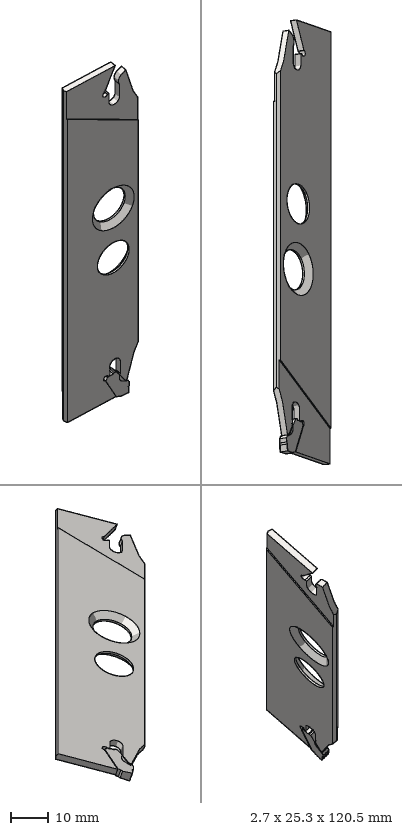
import cadquery as cq

blade_length = 119.9
blade_width = 25.3
blade_thickness = 2.3
edge_ridge = 0.4
half_length = blade_length / 2
half_width = blade_width / 2
half_thickness = blade_thickness / 2

relief_depth = 0.4
relief_start_front = 9.6
relief_start_back = 24.1

slot_radius = 1.8
slot_inset = 8.4
slot_depth = 12.0
stop_depth = 8.9
seat_mouth = (8.1, 0.0)
seat_root = (11.75, 7.7)
seat_relief_center = (11.6, 8.5)
seat_relief_radius = 0.8
jaw_tip = (4.4, 3.6)
jaw_shoulder = (6.0, 4.5)
jaw_bulge = (7.0, 6.4)
jaw_neck_depth = 7.6
flank_bend = (1.87, 12.7)
flank_foot_depth = 16.4

hole_diameter = 11.0
hole_inset = 9.0
hole_offset = 9.0
countersink_diameter = 14.5
countersink_depth = 1.7

cutting_width = 2.7
insert_body_width = 2.3
insert_overhang = 120.5 - blade_length
insert_center_x = relief_depth / 2
body_half_width = insert_body_width / 2
cutting_half_width = cutting_width / 2
insert_corner = (4.0, -insert_overhang)
flare_top = (3.6, 2.4)
flare_bottom = (6.7, -insert_overhang)


def end_point(point):
    """YZ position of an (inset, depth) pair at the lower end of the blade."""
    inset, depth = point
    return (half_width - inset, depth - half_length)


def yz_prism(points, x_start, x_end):
    """Prism along X over a polygon of (inset, depth) points."""
    outline = cq.Workplane("YZ").workplane(offset=x_start).polyline([end_point(p) for p in points])
    return outline.close().extrude(x_end - x_start)


def turn_end_for_end(shape):
    """Half turn about Y, which carries the lower end onto the upper end."""
    return shape.rotate((0, 0, 0), (0, 1, 0), 180)


def end_notch():
    """Outer flank, jaw, slot and insert seat removed from the lower end."""
    slot_outer = slot_inset - slot_radius
    slot_inner = slot_inset + slot_radius
    clearance = 1.2
    outline = (
        cq.Workplane("YZ").workplane(offset=-blade_thickness)
        .moveTo(*end_point((-clearance, flank_foot_depth)))
        .lineTo(*end_point((0, flank_foot_depth)))
        .lineTo(*end_point(flank_bend))
        .lineTo(*end_point(jaw_tip))
        .lineTo(*end_point(jaw_shoulder))
        .threePointArc(end_point(jaw_bulge), end_point((slot_outer, jaw_neck_depth)))
        .lineTo(*end_point((slot_outer, slot_depth)))
        .threePointArc(end_point((slot_inset, slot_depth + slot_radius)), end_point((slot_inner, slot_depth)))
        .lineTo(*end_point((slot_inner, stop_depth)))
        .lineTo(*end_point((seat_root[0], stop_depth)))
        .lineTo(*end_point(seat_root))
        .lineTo(*end_point(seat_mouth))
        .lineTo(*end_point((seat_mouth[0], -clearance)))
        .lineTo(*end_point((-clearance, -clearance)))
        .close()
        .extrude(2 * blade_thickness)
    )
    root_relief = (
        cq.Workplane("YZ").workplane(offset=-blade_thickness)
        .center(*end_point(seat_relief_center)).circle(seat_relief_radius).extrude(2 * blade_thickness)
    )
    return outline.union(root_relief)


def face_relief():
    """Wedge-shaped region of the -X face thinned at the lower end."""
    points = [(0, 0), (blade_width, 0), (blade_width, relief_start_front), (0, relief_start_back)]
    return yz_prism(points, -half_thickness, -half_thickness + relief_depth)


def mounting_hole():
    """Lower hole, its conical countersink flaring towards the -X face."""
    center = (half_width - hole_inset, -hole_offset)
    bore = (
        cq.Workplane("YZ").workplane(offset=-half_thickness)
        .center(*center).circle(hole_diameter / 2).extrude(blade_thickness)
    )
    countersink = (
        cq.Workplane("YZ").workplane(offset=-half_thickness)
        .center(*center).circle(countersink_diameter / 2)
        .workplane(offset=countersink_depth).circle(hole_diameter / 2).loft(combine=True)
    )
    return bore.union(countersink)


def make_blade():
    flat_half_width = half_width - edge_ridge
    section = [
        (-half_thickness, -flat_half_width), (0, -half_width), (half_thickness, -flat_half_width),
        (half_thickness, flat_half_width), (0, half_width), (-half_thickness, flat_half_width),
    ]
    blade = (
        cq.Workplane("XY").workplane(offset=-half_length).polyline(section).close().extrude(blade_length)
    )
    for cutter in (end_notch(), face_relief(), mounting_hole()):
        blade = blade.cut(cutter).cut(turn_end_for_end(cutter))
    return blade


def tip_flare(side):
    """Triangular pyramid that widens the cutting tip on the side of X given by its sign."""
    base_x = insert_center_x + side * body_half_width
    edge_x = insert_center_x + side * cutting_half_width
    top, bottom, corner = [
        cq.Vector(base_x, *end_point(p)) for p in (flare_top, flare_bottom, insert_corner)
    ]
    apex = cq.Vector(edge_x, *end_point(insert_corner))
    triangles = [(top, bottom, corner), (top, bottom, apex), (bottom, corner, apex), (corner, top, apex)]
    faces = [cq.Face.makeFromWires(cq.Wire.makePolygon(list(t), close=True)) for t in triangles]
    return cq.Workplane(obj=cq.Solid.makeSolid(cq.Shell.makeShell(faces)))


def make_insert(blade):
    """Cutting insert, recessed along its upper edge to straddle the clamping jaw."""
    outline = [
        insert_corner, (4.0, 1.3), (3.6, 1.8), flare_top, (3.6, 3.0), (4.1, 3.9), (5.1, 4.3),
        (7.6, 8.4), (8.3, 9.3), (8.8, 9.3), (9.2, stop_depth), (11.2, stop_depth),
        seat_root, seat_mouth, (7.2, -0.2), flare_bottom,
    ]
    insert = yz_prism(outline, insert_center_x - body_half_width, insert_center_x + body_half_width)
    for side in (-1, 1):
        insert = insert.union(tip_flare(side))
    return insert.cut(blade)


blade = make_blade()
insert = make_insert(blade)
result = cq.Compound.makeCompound([blade.solids().val(), insert.solids().val()])